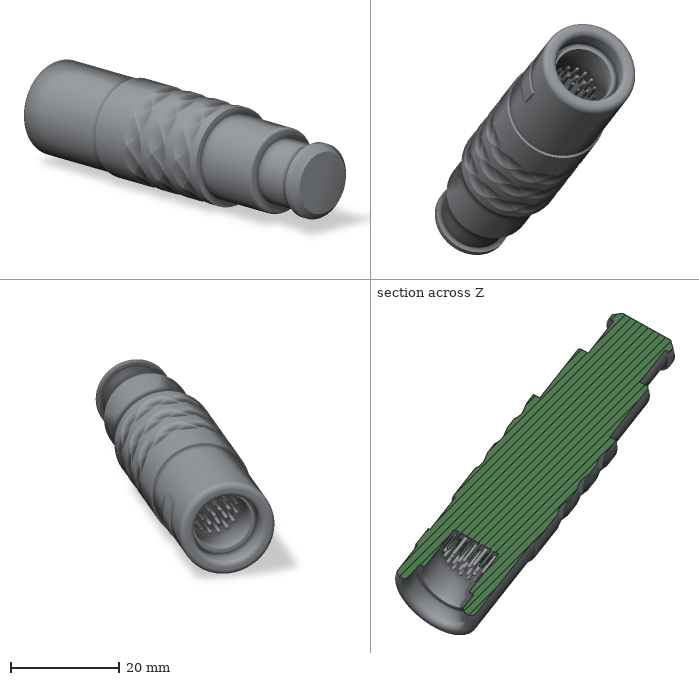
import cadquery as cq
import math

length = 71.1
collar_start = 20.2
collar_end = 47.15
rear_body_end = 60.3
flange_start = 68.6

nose_radius = 9.0
collar_diameter = 19.0
collar_radius = collar_diameter / 2
rear_body_radius = 8.2
neck_radius = 6.25
flange_radius = 7.2

outer_lip_fillet = 1.1
inner_lip_fillet = 1.0
rear_body_fillet = 0.5
flange_chamfer = 1.3

bore_radius = 6.5
insert_radius = 5.5
bore_step_depth = 4.3
socket_depth = 14.2

pin_rings = [(16, 4.35, 180 / 16), (10, 2.8, 0), (4, 1.1, 0)]
pin_radius = 0.32
pin_height = 4.3
pin_root_depth = 0.7

mark_start = 7.6
mark_length = 4.2
mark_radius = 9.4
mark_root_depth = 0.7
mark_half_angle = 20.5

scallop_row_count = 3
scallop_row_pitch = 6.55
scallops_per_ring = 10
scallop_pitch_angle = 360 / scallops_per_ring
scallop_width = 3.6
scallop_depth = 0.5
scallop_start = 27.65
scallop_stagger = 1.15
scallop_cutter_length = 7.1


def make_body():
    """Revolve the stepped outside of the connector about the X axis."""
    profile = (
        cq.Workplane("XY")
        .moveTo(0, 0)
        .lineTo(0, nose_radius - outer_lip_fillet)
        .radiusArc((outer_lip_fillet, nose_radius), outer_lip_fillet)
        .lineTo(collar_start, nose_radius)
        .lineTo(collar_start, collar_radius)
        .lineTo(collar_end, collar_radius)
        .lineTo(collar_end, rear_body_radius)
        .lineTo(rear_body_end - rear_body_fillet, rear_body_radius)
        .radiusArc((rear_body_end, rear_body_radius - rear_body_fillet), rear_body_fillet)
        .lineTo(rear_body_end, neck_radius)
        .lineTo(flange_start, neck_radius)
        .lineTo(flange_start, flange_radius)
        .lineTo(length - flange_chamfer, flange_radius)
        .lineTo(length, flange_radius - flange_chamfer)
        .lineTo(length, 0)
        .close()
    )
    return profile.revolve(360, (0, 0, 0), (1, 0, 0))


def make_socket():
    """Stepped bore with a rounded mouth, to be cut from the nose."""
    profile = (
        cq.Workplane("XY")
        .moveTo(0, 0)
        .lineTo(0, bore_radius + inner_lip_fillet)
        .radiusArc((inner_lip_fillet, bore_radius), -inner_lip_fillet)
        .lineTo(bore_step_depth, bore_radius)
        .lineTo(bore_step_depth, insert_radius)
        .lineTo(socket_depth, insert_radius)
        .lineTo(socket_depth, 0)
        .close()
    )
    return profile.revolve(360, (0, 0, 0), (1, 0, 0))


def make_pins():
    """Round-tipped contact pins rooted below the socket floor, in concentric rings."""
    dome_centre = socket_depth - pin_height + pin_radius
    profile = (
        cq.Workplane("XY")
        .moveTo(dome_centre - pin_radius, 0)
        .radiusArc((dome_centre, pin_radius), pin_radius)
        .lineTo(socket_depth + pin_root_depth, pin_radius)
        .lineTo(socket_depth + pin_root_depth, 0)
        .close()
    )
    pin = profile.revolve(360, (0, 0, 0), (1, 0, 0)).val()
    pins = []
    for count, ring_radius, first_angle in pin_rings:
        for index in range(count):
            angle = math.radians(first_angle + index * 360 / count)
            offset = cq.Vector(0, ring_radius * math.cos(angle), ring_radius * math.sin(angle))
            pins.append(pin.translate(offset))
    return pins


def make_index_mark():
    """Raised band segment, concentric with the nose and centred on +Y."""
    root_radius = nose_radius - mark_root_depth
    band = (
        cq.Workplane("XY")
        .moveTo(mark_start, root_radius)
        .lineTo(mark_start, mark_radius)
        .lineTo(mark_start + mark_length, mark_radius)
        .lineTo(mark_start + mark_length, root_radius)
        .close()
        .revolve(2 * mark_half_angle, (0, 0, 0), (1, 0, 0))
    )
    return band.rotate((0, 0, 0), (1, 0, 0), -mark_half_angle)


def make_scallop_ring(centre_x, first_angle):
    """One ring of cylindrical cutters whose axes lie tangent to the collar."""
    half_width = scallop_width / 2
    cutter_radius = (half_width**2 + scallop_depth**2) / (2 * scallop_depth)
    cutter_offset = collar_radius - scallop_depth + cutter_radius
    cutter = cq.Solid.makeCylinder(
        cutter_radius,
        scallop_cutter_length,
        cq.Vector(centre_x, cutter_offset, -scallop_cutter_length / 2),
        cq.Vector(0, 0, 1),
    )
    ring = []
    for index in range(scallops_per_ring):
        angle = first_angle + index * scallop_pitch_angle
        ring.append(cutter.rotate(cq.Vector(0, 0, 0), cq.Vector(1, 0, 0), angle))
    return ring


def cut_grip(body):
    """Cut each row as two interlocking rings, half a pitch angle apart, like a diamond knurl."""
    for row in range(scallop_row_count):
        front_x = scallop_start + scallop_width / 2 + row * scallop_row_pitch
        body = body.cut(*make_scallop_ring(front_x, scallop_pitch_angle / 2))
        body = body.cut(*make_scallop_ring(front_x + scallop_stagger, 0))
    return body


shell = make_body().cut(make_socket()).union(make_index_mark())
gripped_shell = cut_grip(shell.val())
result = cq.Workplane("XY").newObject([gripped_shell.fuse(*make_pins())]).solids()